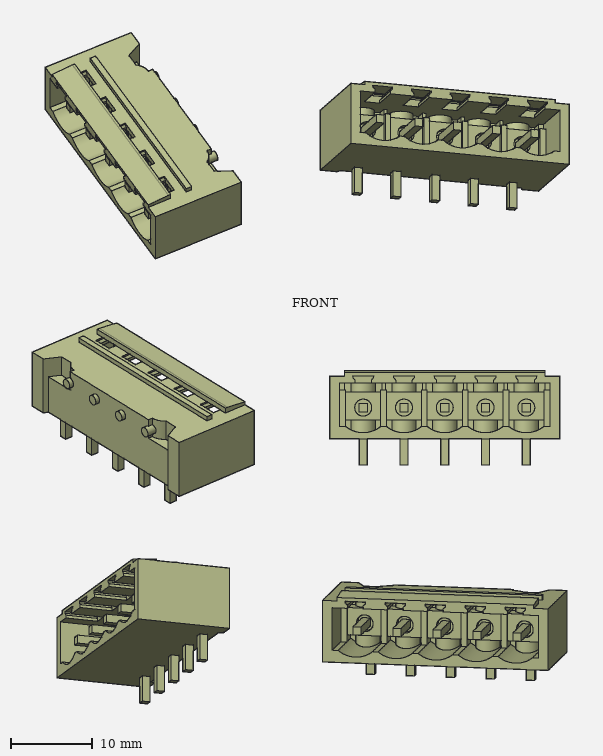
import cadquery as cq
import math


pin_count = 5
pin_span = 20.0
pitch = pin_span / (pin_count - 1)
pin_positions = [i * pitch - pin_span / 2 for i in range(pin_count)]
boundary_positions = [x + pitch / 2 for x in pin_positions[:-1]]

pin_size = 1.02
pin_tip_y = 1.0
pin_leg_y = 9.98
pin_axis_z = 3.84
pin_leg_length = 3.21

length = 28.2
depth = 12.0
height = 7.7
side_wall = 1.2
ceiling_z = 6.82
cavity_depth = 8.0
cavity_length = length - 2 * side_wall

land_z = 1.52
scallop_bottom_z = 0.75
land_width = 0.7
scallop_width = pitch - land_width

bar_front_y = 5.5
bar_top_z = 5.98
rib_front_y = 6.5
rib_width = 0.42
block_front_y = 6.0
block_bottom_z = 2.3
block_height = 3.4
column_radius = 1.5
pin_recess_radius = 1.05
pin_recess_depth = 1.0

ridge_length = 24.6
ridge_depth = 3.13
ridge_front_height = 0.42
ridge_back_height = 0.7
ridge_flat = 0.3
strip_front_y = 5.3
strip_depth = 0.75
strip_height = 0.6
slot_depth = 4.17
slot_top_width = 2.55
slot_neck_width = 1.97
slot_shoulder_z = 7.5
slot_neck_z = 7.2

rear_recess_depth = 0.6
notch_depth = 2.05
notch_floor_z = 5.08
notch_mouth_x = 11.95
notch_outer_x = 10.9
notch_inner_x = 9.08
notch_shoulder_x = boundary_positions[-1]
notch_shoulder_depth = 1.2
stud_radius = 0.62
stud_axis_z = 6.15
stud_length = 1.4


def box(x_center, x_size, y_min, y_max, z_min, z_max):
    """Block centred on x_center and placed by its Y and Z limits."""
    return cq.Workplane("XY").box(x_size, y_max - y_min, z_max - z_min).translate(
        (x_center, (y_min + y_max) / 2, (z_min + z_max) / 2)
    )


def prism_along_y(profile, y_depth):
    """Extrude an XZ-plane profile from the front face toward the back."""
    return profile.extrude(-y_depth)


def make_pin(x):
    """Square L-shaped pin: a contact pointing forward and a leg pointing down."""
    half = pin_size / 2
    top_z = pin_axis_z + half
    contact = box(x, pin_size, pin_tip_y, pin_leg_y + half, pin_axis_z - half, top_z)
    leg = box(x, pin_size, pin_leg_y - half, pin_leg_y + half, -pin_leg_length, top_z)
    return contact.union(leg)


def make_scallop(x):
    """Cavity volume above one rounded floor trough, up to the floor lands."""
    half = scallop_width / 2
    profile = (
        cq.Workplane("XZ")
        .moveTo(x - half, land_z)
        .threePointArc((x, scallop_bottom_z), (x + half, land_z))
        .close()
    )
    return prism_along_y(profile, cavity_depth)


def make_slot(x):
    """Keying slot in the ceiling, wide at the top and narrow at the neck."""
    wide = slot_top_width / 2
    neck = slot_neck_width / 2
    profile = cq.Workplane("XZ").polyline([
        (x - neck, ceiling_z),
        (x - neck, slot_neck_z),
        (x - wide, slot_shoulder_z),
        (x - wide, height),
        (x + wide, height),
        (x + wide, slot_shoulder_z),
        (x + neck, slot_neck_z),
        (x + neck, ceiling_z),
    ]).close()
    return prism_along_y(profile, slot_depth)


def make_pin_seat(x):
    """Column and block that carry one pin at the back of the cavity."""
    column = (
        cq.Workplane("XY", origin=(x, cavity_depth, scallop_bottom_z))
        .circle(column_radius)
        .extrude(ceiling_z - scallop_bottom_z)
    )
    block = box(x, scallop_width, block_front_y, cavity_depth,
                block_bottom_z, block_bottom_z + block_height)
    recess = (
        cq.Workplane("XZ", origin=(x, block_front_y, pin_axis_z))
        .circle(pin_recess_radius)
        .extrude(-pin_recess_depth)
    )
    return column.union(block).cut(recess)


def make_divider(bar_x, bar_size, rib_x, rib_size):
    """Stepped divider: a wide bar in front and a narrower rib reaching the ceiling."""
    bar = box(bar_x, bar_size, bar_front_y, cavity_depth, land_z, bar_top_z)
    rib = box(rib_x, rib_size, rib_front_y, cavity_depth, land_z, ceiling_z)
    return bar.union(rib)


def make_end_divider(side):
    """Divider against one end wall; side is -1 or +1."""
    row_end = pin_count * pitch / 2
    wall_x = cavity_length / 2
    bar_size = wall_x - row_end + land_width / 2
    rib_size = wall_x - row_end + rib_width / 2
    bar_x = side * (wall_x - bar_size / 2)
    rib_x = side * (wall_x - rib_size / 2)
    return make_divider(bar_x, bar_size, rib_x, rib_size)


def make_ridge():
    """Ridge along the front top edge, sloping down toward the front."""
    return (
        cq.Workplane("YZ", origin=(-ridge_length / 2, 0, 0))
        .polyline([
            (0, ceiling_z),
            (0, height + ridge_front_height),
            (ridge_depth - ridge_flat, height + ridge_back_height),
            (ridge_depth, height + ridge_back_height),
            (ridge_depth, ceiling_z),
        ])
        .close()
        .extrude(ridge_length)
    )


def make_rear_recess():
    """Shallow full-height recess between the two sloping wings of the rear face."""
    slope = (notch_mouth_x - notch_outer_x) / notch_depth
    inner_x = notch_mouth_x - slope * rear_recess_depth
    recess_y = depth - rear_recess_depth
    return (
        cq.Workplane("XY")
        .polyline([
            (-notch_mouth_x, depth),
            (-inner_x, recess_y),
            (inner_x, recess_y),
            (notch_mouth_x, depth),
        ])
        .close()
        .extrude(height)
    )


def make_notches():
    """Pair of notches in the rear top edge, each with one sloped and one rounded side."""
    run = notch_inner_x - notch_shoulder_x
    rise = notch_depth - notch_shoulder_depth
    radius = (run ** 2 + rise ** 2) / (2 * rise)
    mid_angle = math.asin(run / radius) / 2
    arc_mid = (
        notch_shoulder_x + radius * math.sin(mid_angle),
        depth - notch_shoulder_depth - radius * (1 - math.cos(mid_angle)),
    )
    notch = (
        cq.Workplane("XY", origin=(0, 0, notch_floor_z))
        .moveTo(notch_mouth_x, depth)
        .lineTo(notch_outer_x, depth - notch_depth)
        .lineTo(notch_inner_x, depth - notch_depth)
        .threePointArc(arc_mid, (notch_shoulder_x, depth - notch_shoulder_depth))
        .lineTo(notch_shoulder_x, depth)
        .close()
        .extrude(height - notch_floor_z)
    )
    return notch.union(notch.mirror("YZ"))


def make_stud(x):
    """Round stud standing out of the rear recess, ending level with the wings."""
    return (
        cq.Workplane("XZ", origin=(x, depth, stud_axis_z))
        .circle(stud_radius)
        .extrude(stud_length)
    )


def make_housing(pins):
    body = box(0, length, 0, depth, 0, height)

    body = body.cut(box(0, cavity_length, 0, cavity_depth, land_z, ceiling_z))
    for x in pin_positions:
        body = body.cut(make_scallop(x))

    for x in pin_positions:
        body = body.union(make_pin_seat(x))
    for x in boundary_positions:
        body = body.union(make_divider(x, land_width, x, rib_width))
    for side in (-1, 1):
        body = body.union(make_end_divider(side))

    body = body.union(make_ridge())
    strip_back_y = strip_front_y + strip_depth
    body = body.union(box(0, ridge_length, strip_front_y, strip_back_y, height, height + strip_height))
    for x in pin_positions:
        body = body.cut(make_slot(x))

    body = body.cut(make_rear_recess()).cut(make_notches())
    for x in boundary_positions:
        body = body.union(make_stud(x))

    for pin in pins:
        body = body.cut(pin)
    return body


pins = [make_pin(x) for x in pin_positions]
housing = make_housing(pins)

result = cq.Compound.makeCompound([housing.val(), *[pin.val() for pin in pins]])